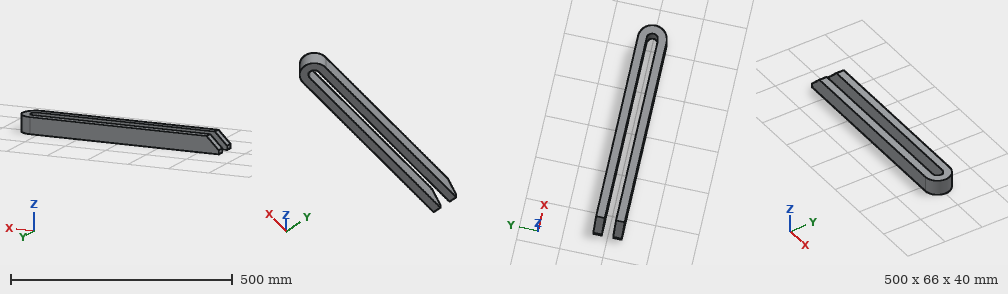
import cadquery as cq

length = 500.0
width = 66.0
height = 40.0

leg_width = 20.0
tip_bevel = 30.0

outer_radius = width / 2
inner_radius = outer_radius - leg_width
tip_x = -length / 2
bend_x = length / 2 - outer_radius


def rounded_strip(radius):
    """Solid strip from the leg tips to a half-round end centred on the bend."""
    return (
        cq.Workplane("XY")
        .moveTo(tip_x, -radius)
        .lineTo(bend_x, -radius)
        .threePointArc((bend_x + radius, 0), (bend_x, radius))
        .lineTo(tip_x, radius)
        .close()
        .extrude(height)
    )


u_bar = rounded_strip(outer_radius).cut(rounded_strip(inner_radius))

bevel_cutter = (
    cq.Workplane("XZ")
    .moveTo(tip_x, height)
    .lineTo(tip_x + tip_bevel, height)
    .lineTo(tip_x, height - tip_bevel)
    .close()
    .extrude(width / 2, both=True)
)

result = u_bar.cut(bevel_cutter)